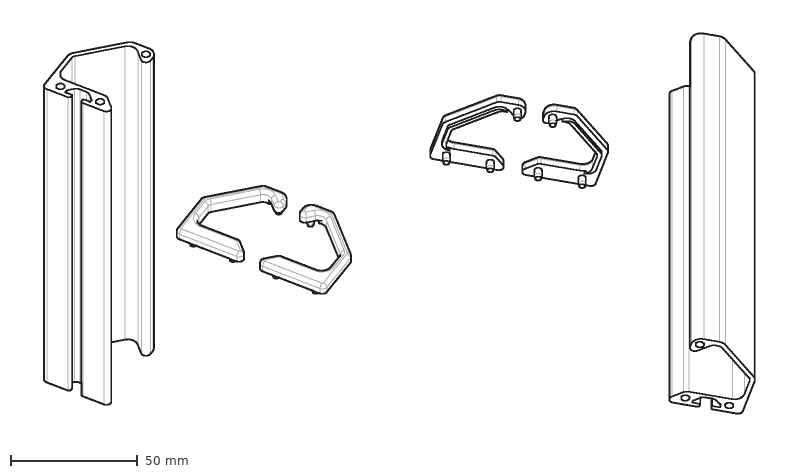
import cadquery as cq
import math

length = 160.0
width = 30.0
height = 40.0
slant_start = 22.0
arm_height = 8.0
arm_tip_height = 2.9
hook_line_sum = 59.2
cap_wall = 4.0
rail_wall = cap_wall / 2

edge_radius = rail_wall
hook_radius = 4.0
floor_radius = 4.0
inner_bend_radius = rail_wall

rail_bend_radius = 4.0
rail_arm_radius = 2.9
rail_nose_radius = 4.0
cap_bend_radius = 2.4
cap_arm_radius = 2.0
cap_nose_radius = 3.5

slot_centre = width / 2
slot_mouth = 4.8
slot_width = 11.4
slot_lip = rail_wall
slot_shoulder = 3.2
slot_roof = 6.2
slot_roof_radius = 2.9
slot_mouth_radius = 1.0

channel_points = [(6.0, 4.0), (24.0, 4.0), (26.5, 36.5)]
channel_diameter = 3.4

cap_x = 60.0
cap_span = 67.5
cap_base_z = 106.0
cap_thickness = 4.5
cap_fillet = 1.6
rim_depth = 1.5
rim_clearance = 0.3
pin_diameter = 3.0
pin_length = 4.3
pin_taper_length = 1.5
pin_taper_inset = 0.3


def section_prism(wall, bend_radius, arm_radius, nose_radius, depth):
    """C-shaped section with the given back wall, extruded from Z = 0."""
    slant_inner = slant_start - wall * math.sqrt(2)
    nose_x = (hook_line_sum - slant_inner) / 2
    corners = [
        (0, 0, edge_radius),
        (width, 0, edge_radius),
        (width, arm_tip_height, edge_radius),
        (width - arm_height + arm_tip_height, arm_height, arm_radius),
        (wall, arm_height, floor_radius),
        (wall, wall + slant_inner, inner_bend_radius),
        (nose_x, nose_x + slant_inner, nose_radius),
        (width, hook_line_sum - width, edge_radius),
        (width, height, hook_radius),
        (height - slant_start, height, bend_radius),
        (0, slant_start, bend_radius),
    ]
    prism = cq.Workplane("XY").polyline([(x, y) for x, y, _ in corners]).close().extrude(depth)
    for x, y, radius in corners:
        corner = cq.selectors.NearestToPointSelector((x, y, depth / 2))
        prism = prism.edges("|Z").edges(corner).fillet(radius)
    return prism


def rail_section(depth):
    return section_prism(rail_wall, rail_bend_radius, rail_arm_radius, rail_nose_radius, depth)


def cap_section(depth):
    return section_prism(cap_wall, cap_bend_radius, cap_arm_radius, cap_nose_radius, depth)


def t_slot():
    """Cutter for the slot that opens through the underside of the base arm."""
    taper = slot_roof - slot_shoulder
    mouth = cq.Workplane("XY").center(slot_centre, slot_lip / 2).rect(slot_mouth, slot_lip).extrude(length)
    half = slot_width / 2
    chamber = (
        cq.Workplane("XY")
        .center(slot_centre, 0)
        .polyline([
            (-half, slot_lip),
            (half, slot_lip),
            (half, slot_shoulder),
            (half - taper, slot_roof),
            (taper - half, slot_roof),
            (-half, slot_shoulder),
        ])
        .close()
        .extrude(length)
        .faces(">Y").edges("|Z").fillet(slot_roof_radius)
    )
    return mouth.union(chamber)


def make_rail():
    """Extruded rail with its T-slot and through screw channels."""
    channels = cq.Workplane("XY").pushPoints(channel_points).circle(channel_diameter / 2).extrude(length)
    rail = rail_section(length).cut(t_slot()).cut(channels)
    for side in (-1, 1):
        mouth_edge = (slot_centre + side * slot_mouth / 2, 0, length / 2)
        rail = rail.edges(cq.selectors.NearestToPointSelector(mouth_edge)).fillet(slot_mouth_radius)
    return rail


def locating_rim():
    """Thin rim below the cap plate that fits just inside the rail's wall."""
    rail_zone = rail_section(rim_depth).faces("<Z").wires().toPending()
    rail_zone = rail_zone.offset2D(rim_clearance).extrude(rim_depth, combine=False)
    return cap_section(rim_depth).cut(rail_zone).translate((0, 0, -rim_depth))


def pins():
    """Pins with tapered tips that enter the rail's screw channels."""
    blanks = cq.Workplane("XY").pushPoints(channel_points).circle(pin_diameter / 2).extrude(-pin_length)
    return blanks.faces("<Z").edges().chamfer(pin_taper_length, pin_taper_inset)


def make_cap():
    """End cap: plate with a rounded top edge, locating rim and pins underneath."""
    plate = cap_section(cap_thickness).faces(">Z").edges().fillet(cap_fillet)
    return plate.union(locating_rim()).union(pins()).translate((cap_x, 0, cap_base_z))


rail = make_rail()

cap_mirror_x = cap_x + cap_span / 2
left_cap = make_cap()
right_cap = left_cap.mirror("YZ", (cap_mirror_x, 0, 0))

result = cq.Compound.makeCompound([body.solids().val() for body in (rail, left_cap, right_cap)])